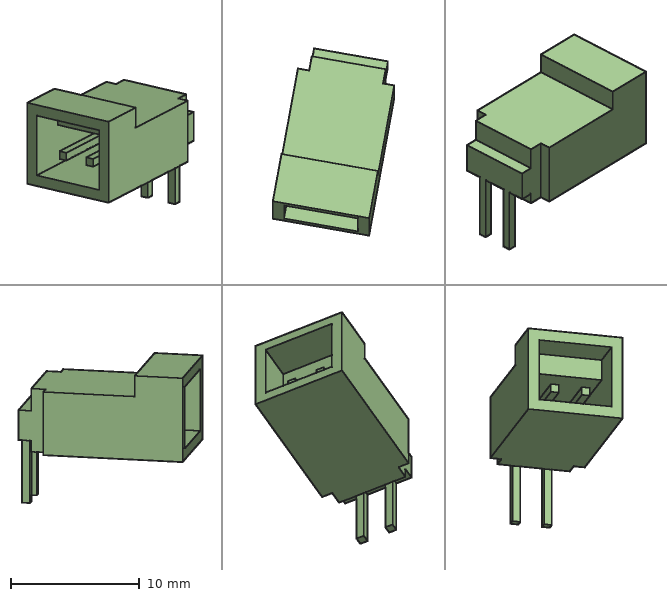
import cadquery as cq

width = 7.62
wall = 0.89
hood_height = 6.73
hood_length = 3.81
body_height = 5.07
sleeve_length = 11.07
cavity_depth = sleeve_length - wall

plug_end = 12.21
block_end = 13.23
block_bottom = 0.89
block_height = 2.4
cavity_width = width - 2 * wall

contact_size = 0.64
pin_pitch = 2.5
pin_row_center = -0.06
pin_center_z = 2.45
pin_tip_y = 1.27
leg_pitch = 2.54
leg_length = 4.45


def block(size_x, y_start, y_end, z_bottom, z_top, center_x=0):
    """Box centred on center_x, spanning the given Y and Z limits."""
    return (
        cq.Workplane("XY")
        .box(size_x, y_end - y_start, z_top - z_bottom, centered=(True, False, False))
        .translate((center_x, y_start, z_bottom))
    )


def make_housing():
    sleeve = block(width, 0, sleeve_length, 0, body_height)
    hood = block(width, 0, hood_length, 0, hood_height)
    plug = block(cavity_width, sleeve_length, plug_end, 0, body_height)
    rear_block = block(cavity_width, plug_end, block_end, block_bottom, block_bottom + block_height)
    return sleeve.union(hood).union(plug).union(rear_block)


def make_cavity():
    main = block(cavity_width, 0, cavity_depth, wall, body_height - wall)
    under_hood = block(cavity_width, 0, hood_length - wall, wall, hood_height - wall)
    return main.union(under_hood)


def make_pin(center_x):
    bottom = pin_center_z - contact_size / 2
    return block(contact_size, pin_tip_y, sleeve_length, bottom, bottom + contact_size, center_x)


def make_leg(center_x):
    return block(contact_size, block_end - contact_size, block_end, -leg_length, block_bottom, center_x)


result = make_housing().cut(make_cavity())
for side in (-1, 1):
    result = result.union(make_pin(pin_row_center + side * pin_pitch / 2))
    result = result.union(make_leg(side * leg_pitch / 2))